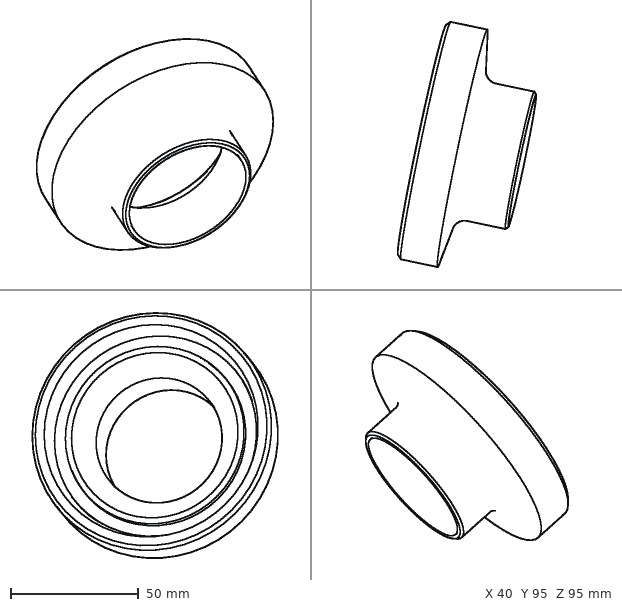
import cadquery as cq
import math

total_length = 40.0

rim_radius = 47.5
rim_width = 16.15
rim_chamfer = 1.5
neck_radius = 55.0 / 2
neck_chamfer = 0.95
back_slope = math.radians(9.5)
neck_fillet = 5.0

mouth_radius = 42.5
recess_radius = 80.8 / 2
taper_depth = 8.1
floor_depth = 11.5
seat_outer_radius = 71.0 / 2
seat_inner_radius = 33.1
seat_depth = taper_depth
bore_radius = 50.0 / 2
bore_start = 17.6

half_turn = (math.pi / 2 - back_slope) / 2
corner_x = rim_width + (rim_radius - neck_radius) * math.tan(back_slope)
tangent_length = neck_fillet * math.tan(half_turn)
blend_end_x = corner_x + tangent_length
blend_start = (
    corner_x - tangent_length * math.sin(back_slope),
    neck_radius + tangent_length * math.cos(back_slope),
)
blend_mid = (
    blend_end_x - neck_fillet * math.sin(half_turn),
    neck_radius + neck_fillet * (1 - math.cos(half_turn)),
)

section = (
    cq.Workplane("XY")
    .moveTo(0, mouth_radius)
    .lineTo(0, rim_radius - rim_chamfer)
    .lineTo(rim_chamfer, rim_radius)
    .lineTo(rim_width, rim_radius)
    .lineTo(*blend_start)
    .threePointArc(blend_mid, (blend_end_x, neck_radius))
    .lineTo(total_length - neck_chamfer, neck_radius)
    .lineTo(total_length, neck_radius - neck_chamfer)
    .lineTo(total_length, bore_radius)
    .lineTo(bore_start, bore_radius)
    .lineTo(seat_depth, seat_inner_radius)
    .lineTo(seat_depth, seat_outer_radius)
    .lineTo(floor_depth, seat_outer_radius)
    .lineTo(floor_depth, recess_radius)
    .lineTo(taper_depth, recess_radius)
    .close()
)

result = section.revolve(360, (0, 0, 0), (1, 0, 0))